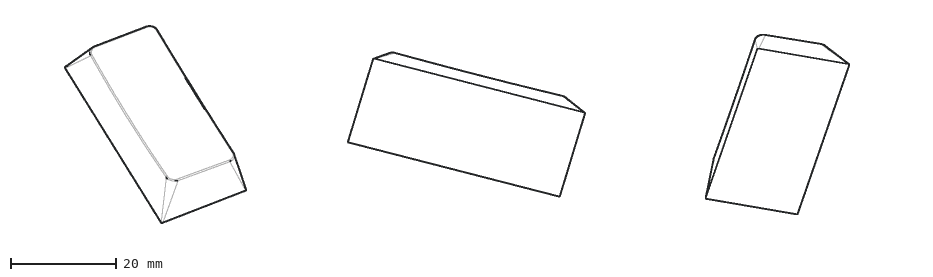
import cadquery as cq
import math

base_length = 41.8
base_width = 18.0
base_corner_radius = 0.2

blank_height = 7.53
side_inset = 3.15
front_inset = 3.45
back_inset = 0.63
top_corner_radius = 1.75

dish_radius = 309.4
dish_tilt = 1.2
dish_floor_height = 6.65
dish_cutter_length = 3 * base_width

rim_fillet = 0.3

top_length = base_length - 2 * side_inset
top_width = base_width - front_inset - back_inset
top_centre_y = (front_inset - back_inset) / 2


def rounded_outline(length, width, corner_radius):
    """Sketch of a rectangle with all four corners rounded."""
    return cq.Sketch().rect(length, width).vertices().fillet(corner_radius)


def tapered_blank():
    """Solid whose four walls lean in from the base outline to the top outline."""
    base = rounded_outline(base_length, base_width, base_corner_radius)
    top = rounded_outline(top_length, top_width, top_corner_radius).moved(
        cq.Location(cq.Vector(0, top_centre_y, blank_height))
    )
    return cq.Workplane("XY").placeSketch(base, top).loft(ruled=True)


def dish_cutter():
    """Cylinder that scoops the top, tilted about its lowest line."""
    tilt = math.radians(dish_tilt)
    axis_direction = cq.Vector(0, math.cos(tilt), -math.sin(tilt))
    radial_direction = cq.Vector(0, math.sin(tilt), math.cos(tilt))
    floor_centre = cq.Vector(0, top_centre_y, dish_floor_height)
    start = floor_centre + radial_direction * dish_radius - axis_direction * (dish_cutter_length / 2)
    return cq.Solid.makeCylinder(dish_radius, dish_cutter_length, start, axis_direction)


dished = tapered_blank().cut(cq.Workplane(dish_cutter()))

result = dished.faces(">Z").edges().fillet(rim_fillet)